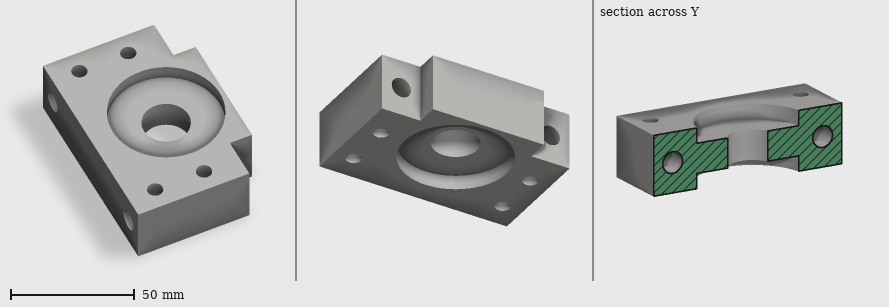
import cadquery as cq

body_width = 88.0
body_depth = 50.0
total_depth = 60.0
shoulder_width = 52.0
thickness = 26.0

bore_center_y = 34.0
bore_diameter = 20.0
seat_diameter = 48.0
seat_depth = 6.5

hole_spacing = 70.0
vertical_hole_diameter = 6.6
vertical_hole_rows_y = (12.0, bore_center_y)
cross_hole_diameter = 9.0


def make_block():
    """Body and shoulder, with the front face on y = 0 and the bottom on z = 0."""
    body = cq.Workplane("XY").box(body_width, body_depth, thickness, centered=(True, False, False))
    shoulder = cq.Workplane("XY").box(shoulder_width, total_depth, thickness, centered=(True, False, False))
    return body.union(shoulder)


def make_bearing_cuts():
    """Through bore with a wider, shallow seat sunk from both the bottom and the top face."""
    cuts = cq.Workplane("XY").center(0, bore_center_y).circle(bore_diameter / 2).extrude(thickness)
    for seat_bottom_z in (0, thickness - seat_depth):
        seat = (
            cq.Workplane("XY", origin=(0, bore_center_y, seat_bottom_z))
            .circle(seat_diameter / 2)
            .extrude(seat_depth)
        )
        cuts = cuts.union(seat)
    return cuts


def make_vertical_holes():
    """Four holes through the thickness."""
    centers = [(side * hole_spacing / 2, y) for side in (-1, 1) for y in vertical_hole_rows_y]
    return cq.Workplane("XY").pushPoints(centers).circle(vertical_hole_diameter / 2).extrude(thickness)


def make_cross_holes():
    """Two holes along Y through the body, at mid thickness."""
    centers = [(side * hole_spacing / 2, thickness / 2) for side in (-1, 1)]
    return cq.Workplane("XZ").pushPoints(centers).circle(cross_hole_diameter / 2).extrude(-body_depth)


result = (
    make_block()
    .cut(make_bearing_cuts())
    .cut(make_vertical_holes())
    .cut(make_cross_holes())
)